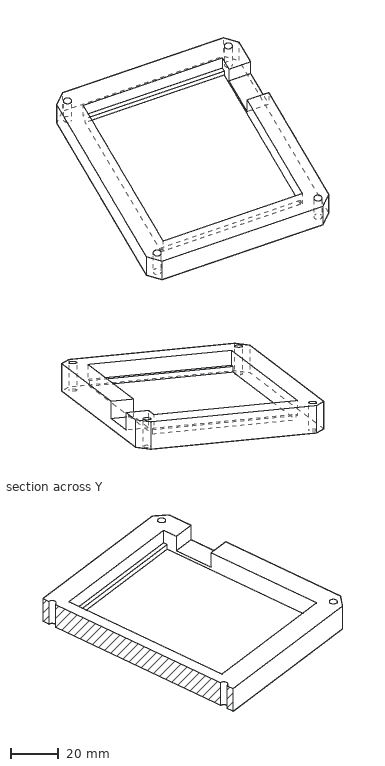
import cadquery as cq

length = 102.0
width = 84.0
height = 12.0
corner_chamfer = 5.0

wall = 10.0
pocket_depth = 9.0
ledge_width = 1.9
ledge_depth = 6.5

notch_start = 16.8
notch_length = 18.6
notch_depth = 7.5

hole_diameter = 3.4
hole_inset = 5.0

pocket_length = length - 2 * wall
pocket_width = width - 2 * wall


def top_cut(size_x, size_y, depth, center_x=0, center_y=0):
    """Rectangular cutter reaching down from the top face."""
    return (
        cq.Workplane("XY", origin=(center_x, center_y, height))
        .rect(size_x, size_y)
        .extrude(-depth)
    )


result = (
    cq.Workplane("XY")
    .box(length, width, height, centered=(True, True, False))
    .edges("|Z")
    .chamfer(corner_chamfer)
)

result = result.cut(top_cut(pocket_length, pocket_width, ledge_depth))
result = result.cut(top_cut(pocket_length - 2 * ledge_width, pocket_width, pocket_depth))

notch_center_x = -length / 2 + notch_start + notch_length / 2
notch_center_y = (width - wall) / 2
result = result.cut(top_cut(notch_length, wall, notch_depth, notch_center_x, notch_center_y))

result = (
    result.faces(">Z")
    .workplane(origin=(0, 0, height))
    .rect(length - 2 * hole_inset, width - 2 * hole_inset, forConstruction=True)
    .vertices()
    .hole(hole_diameter)
)